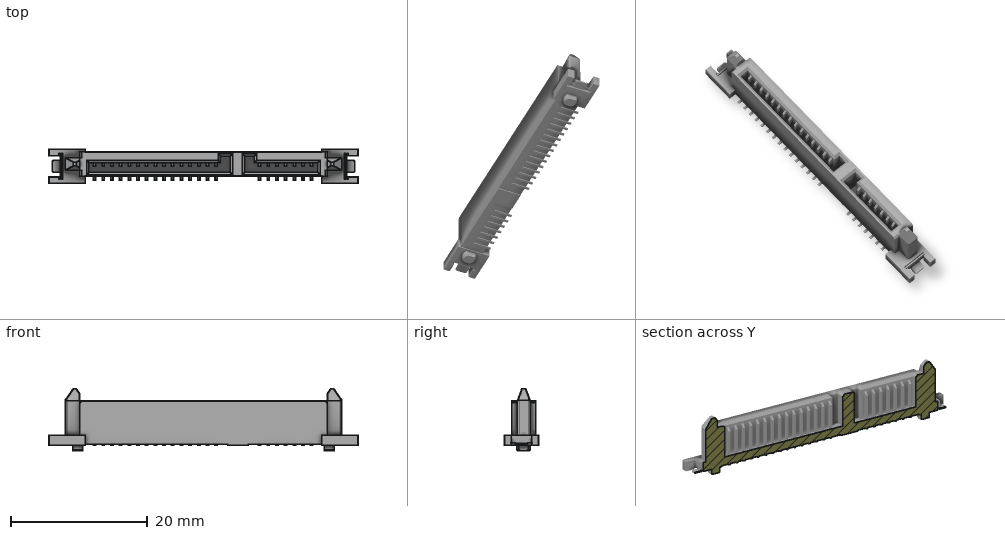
import cadquery as cq


LENGTH = 45.22
WIDTH = 5.0
HEIGHT = 9.1
PEG_DEPTH = 0.82
TIP_Z = HEIGHT - PEG_DEPTH

BODY_HALF_LENGTH = 18.1
BODY_WIDTH = 3.55
BODY_CENTER_Y = 0.34
BODY_BOTTOM_Z = 0.13
BODY_TOP_Z = 6.5
BODY_END_CHAMFER = 0.3
FOOT_X_MIN, FOOT_X_MAX = 3.52, 6.57

CAVITY_FLOOR_Z = 1.5
CAVITY_CHAMFER = 0.35
CAVITY_FRONT_Y = -1.21
CAVITY_BACK_Y = 0.88
KEY_BACK_Y = 1.83
LONG_CAVITY_X = (-17.1, 4.25)
SHORT_CAVITY_X = (5.66, 17.05)
KEY_LENGTH = 2.12

PITCH = 1.27
LONG_ROW_START_X, LONG_ROW_COUNT = -15.93, 15
SHORT_ROW_START_X, SHORT_ROW_COUNT = 8.2, 7
CONTACT_WIDTH = 0.36
CONTACT_FRONT_Y = 0.03
CONTACT_RECESS = 0.7
CONTACT_TOP_Z = BODY_TOP_Z - CONTACT_RECESS
CONTACT_EMBED = 0.2
TAIL_END_Y = -2.02
TAIL_THICKNESS = 0.16

FLANGE_LENGTH = 5.34
FLANGE_HEIGHT = 1.5
NOTCH_WIDTH = 3.05
SLOT_WIDTH = 3.7
SLOT_INNER_X = 20.63
SLOT_OUTER_X = 21.1

CLIP_OUTER_X = 20.97
CLIP_THICKNESS = 0.2
CLIP_FOOT_Z = 0.08
CLIP_BOTTOM_Z = 0.4
CLIP_FOOT_END_X = 22.15
CLIP_FOOT_WIDTH = 1.78
CLIP_FOOT_CORNER = 0.2

POST_OUTER_X = 20.2
POST_WIDTH = 1.87
POST_FILLET = 0.3
POST_SHOULDER_Z = 6.6
POST_INNER_SHOULDER_Z = 7.55
TIP_INNER_X, TIP_OUTER_X = 18.62, 19.03
TIP_WIDTH = 0.55

PEG_CENTER_X = 18.37
PEG_CENTER_Y = 0.3
PEG_WIDTH = 1.5
PEG_FLAT_LENGTH = 1.4
PEG_BULGE = 0.3
PEG_CHAMFER = 0.2


def block(x0, x1, y0, y1, z0, z1):
    """Axis-aligned box between two opposite corners."""
    return cq.Workplane("XY").box(x1 - x0, y1 - y0, z1 - z0, centered=False).translate((x0, y0, z0))


def make_body():
    y0 = BODY_CENTER_Y - BODY_WIDTH / 2
    y1 = BODY_CENTER_Y + BODY_WIDTH / 2
    body = block(-BODY_HALF_LENGTH, BODY_HALF_LENGTH, y0, y1, BODY_BOTTOM_Z, BODY_TOP_Z)
    body = body.faces(">Z").edges("|Y").chamfer(BODY_END_CHAMFER)
    return body.union(block(FOOT_X_MIN, FOOT_X_MAX, y0, y1, 0, BODY_BOTTOM_Z))


def make_cavity(far_x, key_x):
    """Cavity from far_x to key_x, with its polarising key at the key_x end and a flared mouth."""
    toward_far = 1 if far_x > key_x else -1
    key_end_x = key_x + toward_far * KEY_LENGTH
    outline = [
        (far_x, CAVITY_FRONT_Y),
        (key_x, CAVITY_FRONT_Y),
        (key_x, KEY_BACK_Y),
        (key_end_x, KEY_BACK_Y),
        (key_end_x, CAVITY_BACK_Y),
        (far_x, CAVITY_BACK_Y),
    ]
    straight = cq.Workplane("XY").polyline(outline).close().offset2D(-CAVITY_CHAMFER, "intersection")
    straight = straight.extrude(BODY_TOP_Z - CAVITY_FLOOR_Z).translate((0, 0, CAVITY_FLOOR_Z))
    flare = cq.Workplane("XY").polyline(outline).close().extrude(2 * CAVITY_CHAMFER)
    flare = flare.faces("<Z").chamfer(CAVITY_CHAMFER).translate((0, 0, BODY_TOP_Z - CAVITY_CHAMFER))
    return straight.union(flare)


def make_contact(x):
    """Contact blade on the cavity back wall, with a bevelled tip and a solder tail bent toward -Y."""
    x0 = x - CONTACT_WIDTH / 2
    x1 = x + CONTACT_WIDTH / 2
    wall_y = CAVITY_BACK_Y - CAVITY_CHAMFER
    blade = block(x0, x1, CONTACT_FRONT_Y, wall_y + CONTACT_EMBED, 0, CONTACT_TOP_Z)
    blade = blade.edges("<Y and >Z").chamfer(wall_y - CONTACT_FRONT_Y)
    tail = block(x0, x1, TAIL_END_Y, wall_y, 0, TAIL_THICKNESS)
    return blade.union(tail)


def make_flange():
    outer_x = LENGTH / 2
    flange = block(outer_x - FLANGE_LENGTH, outer_x, -WIDTH / 2, WIDTH / 2, 0, FLANGE_HEIGHT)
    notch = block(SLOT_INNER_X, outer_x, -NOTCH_WIDTH / 2, NOTCH_WIDTH / 2, 0, FLANGE_HEIGHT)
    slot = block(SLOT_INNER_X, SLOT_OUTER_X, -SLOT_WIDTH / 2, SLOT_WIDTH / 2, 0, FLANGE_HEIGHT)
    return flange.cut(notch).cut(slot)


def make_clip():
    """Plate standing in the flange slot, with a solder foot reaching outward."""
    plate_x0 = CLIP_OUTER_X - CLIP_THICKNESS
    plate = block(plate_x0, CLIP_OUTER_X, -SLOT_WIDTH / 2, SLOT_WIDTH / 2, CLIP_BOTTOM_Z, FLANGE_HEIGHT)
    half = CLIP_FOOT_WIDTH / 2
    stem = block(plate_x0, CLIP_OUTER_X, -half, half, CLIP_FOOT_Z, CLIP_BOTTOM_Z)
    foot = block(plate_x0, CLIP_FOOT_END_X, -half, half, CLIP_FOOT_Z, CLIP_FOOT_Z + CLIP_THICKNESS)
    foot = foot.edges("|Z and >X").chamfer(CLIP_FOOT_CORNER)
    return plate.union(stem).union(foot)


def make_post():
    """Round-edged guide post with a four-sided tapered tip, rooted in the body end."""
    y0 = BODY_CENTER_Y - POST_WIDTH / 2
    y1 = BODY_CENTER_Y + POST_WIDTH / 2
    post = block(BODY_HALF_LENGTH, POST_OUTER_X, y0, y1, FLANGE_HEIGHT, TIP_Z)
    post = post.edges("|Z and >X").fillet(POST_FILLET)
    side_outline = [
        (BODY_HALF_LENGTH, FLANGE_HEIGHT),
        (POST_OUTER_X, FLANGE_HEIGHT),
        (POST_OUTER_X, POST_SHOULDER_Z),
        (TIP_OUTER_X, TIP_Z),
        (TIP_INNER_X, TIP_Z),
        (BODY_HALF_LENGTH, POST_INNER_SHOULDER_Z),
    ]
    side_taper = cq.Workplane("XZ").polyline(side_outline).close().extrude(WIDTH, both=True)
    end_outline = [
        (y0, FLANGE_HEIGHT),
        (y1, FLANGE_HEIGHT),
        (y1, BODY_TOP_Z),
        (BODY_CENTER_Y + TIP_WIDTH / 2, TIP_Z),
        (BODY_CENTER_Y - TIP_WIDTH / 2, TIP_Z),
        (y0, BODY_TOP_Z),
    ]
    end_taper = cq.Workplane("YZ").polyline(end_outline).close().extrude(LENGTH)
    root = block(BODY_HALF_LENGTH - BODY_END_CHAMFER, BODY_HALF_LENGTH, y0, y1, FLANGE_HEIGHT, BODY_TOP_Z)
    return post.intersect(side_taper).intersect(end_taper).union(root)


def make_peg():
    """Flat-sided peg with bowed ends, bevelled at the bottom of each bow."""
    half_x = PEG_WIDTH / 2
    half_y = PEG_FLAT_LENGTH / 2
    peg = (
        cq.Workplane("XY")
        .moveTo(-half_x, -half_y)
        .threePointArc((0, -half_y - PEG_BULGE), (half_x, -half_y))
        .lineTo(half_x, half_y)
        .threePointArc((0, half_y + PEG_BULGE), (-half_x, half_y))
        .close()
        .extrude(-PEG_DEPTH)
    )
    peg = peg.faces("<Z").edges("%CIRCLE").chamfer(PEG_CHAMFER)
    return peg.translate((PEG_CENTER_X, PEG_CENTER_Y, 0))


result = make_body()

end_group = make_flange().union(make_clip()).union(make_post()).union(make_peg())
result = result.union(end_group).union(end_group.mirror("YZ"))

result = result.cut(make_cavity(LONG_CAVITY_X[0], LONG_CAVITY_X[1]))
result = result.cut(make_cavity(SHORT_CAVITY_X[1], SHORT_CAVITY_X[0]))

for start_x, count in ((LONG_ROW_START_X, LONG_ROW_COUNT), (SHORT_ROW_START_X, SHORT_ROW_COUNT)):
    for i in range(count):
        result = result.union(make_contact(start_x + i * PITCH))